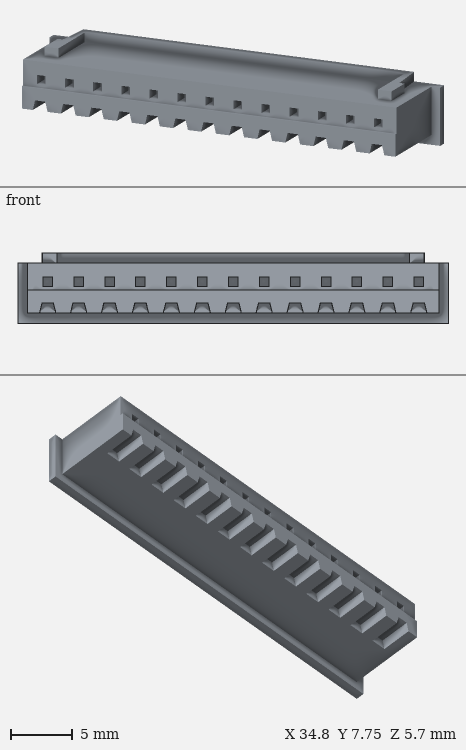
import cadquery as cq

length = 34.8
depth = 7.75
height = 5.7

flange_overhang = 0.75
flange_thickness = 0.75
body_length = length - 2 * flange_overhang
body_bottom = 0.85
deck_height = 4.9
band_top = 2.7
band_projection = 0.25

rail_wall = 0.85
rail_rear_length = 29.45
rail_neck_length = 30.0
rail_tab_length = 30.9
rail_inner_length = 28.45
rail_tab_rear = 3.4
rail_reach = 5.9

contact_count = 13
contact_span = 30.0
contact_pitch = contact_span / (contact_count - 1)
socket_size = 0.75
socket_center_height = 3.38
socket_depth = 1.4
notch_top_width = 0.9
notch_bottom_width = 1.32
notch_height = 0.85
notch_depth = 2.8


def block(x_size, y_front, y_rear, z_bottom, z_top):
    """Box centred on X and bounded by the given Y and Z limits."""
    return (
        cq.Workplane("XY")
        .box(x_size, y_rear - y_front, z_top - z_bottom, centered=(True, False, False))
        .translate((0, y_front, z_bottom))
    )


def make_housing():
    """Body with a projecting lower front band and a wider rear flange."""
    body = block(body_length, band_projection, depth, body_bottom, deck_height)
    band = block(body_length, 0, depth, body_bottom, band_top)
    flange = block(length, depth - flange_thickness, depth, 0, deck_height)
    return body.union(band).union(flange)


def make_rail():
    """U-shaped rail with flared arms ending in wider tabs, open to the front."""
    inner_rear = depth - rail_wall
    tab_rear = depth - rail_tab_rear
    arm_front = depth - rail_reach
    right_side = [
        (rail_inner_length / 2, inner_rear),
        (rail_inner_length / 2, arm_front),
        (rail_tab_length / 2, arm_front),
        (rail_tab_length / 2, tab_rear),
        (rail_neck_length / 2, tab_rear),
        (rail_rear_length / 2, depth),
    ]
    left_side = [(-x, y) for x, y in reversed(right_side)]
    return (
        cq.Workplane("XY", origin=(0, 0, deck_height))
        .polyline(right_side + left_side)
        .close()
        .extrude(height - deck_height)
    )


def make_socket():
    """Square contact opening in the upper front face, centred on X = 0."""
    half_size = socket_size / 2
    return block(
        socket_size,
        band_projection,
        band_projection + socket_depth,
        socket_center_height - half_size,
        socket_center_height + half_size,
    )


def make_notch():
    """Tapered notch in the lower front edge, wider at the bottom."""
    notch_top = body_bottom + notch_height
    return (
        cq.Workplane("XZ")
        .polyline([
            (-notch_bottom_width / 2, body_bottom),
            (notch_bottom_width / 2, body_bottom),
            (notch_top_width / 2, notch_top),
            (-notch_top_width / 2, notch_top),
        ])
        .close()
        .extrude(-notch_depth)
    )


result = make_housing().union(make_rail())

contact_cutter = make_socket().union(make_notch())
for index in range(contact_count):
    contact_x = index * contact_pitch - contact_span / 2
    result = result.cut(contact_cutter.translate((contact_x, 0, 0)))